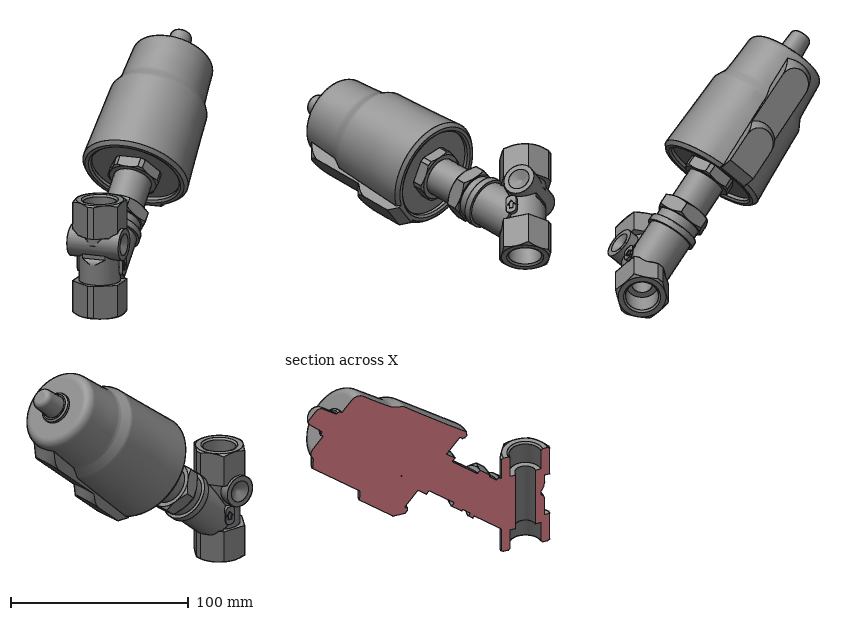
import cadquery as cq
import math

body_length = 66.2
body_hex_length = 19.3
body_hex_flat_x = 27.2
body_hex_width_y = 29.6
body_hex_side_half = 7.45
body_hex_tip_half = 1.8
body_hex_end_diameter = 26.8
pipe_diameter = 23.4
port_diameter = 18.63
port_mouth_diameter = 20.8
port_depth = 14.0
bore_diameter = 12.0
hex_chamfer_angle = 30.0
hex_sides = 6

cross_diameter = 18.2
cross_length = 31.0
cross_y = -2.5
cross_z = 8.9
dimple_diameter = 12.4
dimple_depth = 3.6

relief_flat_y = -9.5
relief_flat_drop = 8.2
relief_end_drop = 12.0

plate_width = 6.2
plate_height = 10.7
plate_corner_radius = 2.4
plate_y = 3.0
plate_z = -5.0
plate_span = 27.2
arrow_width = 4.4
arrow_height = 4.8
arrow_head_height = 2.6
arrow_shaft_width = 2.2
arrow_depth = 0.5

tilt = 40.0
axis_cross_z = -12.2

branch_start, branch_end = 4.2, 29.5
branch_diameter = 26.0
branch_bottom_z = -16.75
ring_end = 33.3
ring_diameter = 29.0
neck_diameter = 25.0
nut_start, nut_end = 39.0, 47.3
nut_flats = 27.0
stem_diameter = 22.0

lock_nut_start = 66.9
lock_nut_flats = 27.2
lock_nut_corners = 29.8

rim_start = 70.4
rim_wide = 72.6
rim_face_radius = 29.0
housing_radius = 30.815
recess_diameter = 51.7
recess_mouth_radius = 27.0
recess_floor = 73.5
lock_nut_buried_length = 2.0
lock_nut_end = recess_floor + lock_nut_buried_length
shoulder_start = 120.0
shoulder_radius = 28.3
shoulder_end = 126.5
upper_radius = 24.9
upper_blend = 4.5
lower_blend = 3.0
dome_top = 152.7
dome_radius = 23.1
dome_fillet = 5.0

collar_diameter = 18.0
collar_inner_radius = 7.8
collar_side_end = 154.2
collar_end = 155.0
cap_base_radius = 6.8
cap_tip_radius = 5.9
cap_top = 168.1
cap_fillet = 2.9

pad_half_width = 9.0
pad_nose_draft = 0.75
upper_pad_bottom = 29.0
upper_pad_nose = 135.0
upper_pad_root = 20.0
lower_pad_bottom = 34.0
lower_pad_nose = 93.8
lower_pad_root = 27.0
lower_pad_back = 76.0
lower_pad_back_slope = 1.2


def cylinder(diameter, start, end):
    return cq.Workplane("XY").workplane(offset=start).circle(diameter / 2).extrude(end - start)


def revolved(points):
    """Solid of revolution about Z from (radius, height) points."""
    return cq.Workplane("XZ").polyline(points).close().revolve(360, (0, 0, 0), (0, 1, 0))


def chamfer_envelope(end_radius, outer_radius, start, end, both_ends):
    """Turned blank whose conical upper end, or both ends, bevel the corners of a hexagon."""
    drop = (outer_radius - end_radius) * math.tan(math.radians(hex_chamfer_angle))
    points = [(0, start)]
    if both_ends:
        points += [(end_radius, start), (outer_radius, start + drop)]
    else:
        points.append((outer_radius, start))
    points += [(outer_radius, end - drop), (end_radius, end), (0, end)]
    return revolved(points)


def hexagon_corner_radius(flats):
    return flats / 2 / math.cos(math.pi / hex_sides)


def hexagon(flats, start, end):
    """Hexagonal prism along Z with two flats facing Y."""
    corner_diameter = 2 * hexagon_corner_radius(flats)
    return cq.Workplane("XY").workplane(offset=start).polygon(hex_sides, corner_diameter).extrude(end - start)



def body_end():
    """Hexagonal connection at the +Z end of the body."""
    start = body_length / 2 - body_hex_length
    end = body_length / 2
    flat_x = body_hex_flat_x / 2
    tip_y = body_hex_width_y / 2
    outline = [
        (flat_x, -body_hex_side_half),
        (flat_x, body_hex_side_half),
        (body_hex_tip_half, tip_y),
        (-body_hex_tip_half, tip_y),
        (-flat_x, body_hex_side_half),
        (-flat_x, -body_hex_side_half),
        (-body_hex_tip_half, -tip_y),
        (body_hex_tip_half, -tip_y),
    ]
    prism = cq.Workplane("XY").workplane(offset=start).polyline(outline).close().extrude(body_hex_length)
    corner_radius = math.hypot(flat_x, body_hex_side_half)
    return prism.intersect(
        chamfer_envelope(body_hex_end_diameter / 2, corner_radius, start, end, False)
    )


def relief_cut():
    """Notch across the -Y side of the pipe, rounding out to the pipe surface at its lower end."""
    pipe_front = -pipe_diameter / 2
    flat_end_z = cross_z - relief_flat_drop
    outer_end_z = cross_z - relief_end_drop
    depth = relief_flat_y - pipe_front
    height = flat_end_z - outer_end_z
    round_radius = (depth**2 + height**2) / (2 * depth)
    return (
        cq.Workplane("YZ")
        .moveTo(pipe_front, cross_z)
        .lineTo(relief_flat_y, cross_z)
        .lineTo(relief_flat_y, flat_end_z)
        .radiusArc((pipe_front, outer_end_z), -round_radius)
        .close()
        .extrude(pipe_diameter / 2, both=True)
    )


def cross_boss():
    return (
        cq.Workplane("YZ").center(cross_y, cross_z).circle(cross_diameter / 2)
        .extrude(cross_length / 2, both=True)
    )


def cross_dimple(side):
    dimple = cq.Solid.makeCone(
        dimple_diameter / 2, 0, dimple_depth,
        cq.Vector(side * cross_length / 2, cross_y, cross_z), cq.Vector(-side, 0, 0),
    )
    return cq.Workplane(dimple)


def flow_plates():
    return (
        cq.Workplane("YZ").center(plate_y, plate_z).rect(plate_width, plate_height)
        .extrude(plate_span / 2, both=True)
        .edges("|X").fillet(plate_corner_radius)
    )


def flow_arrow(side):
    """Arrow pointing to +Z, sunk into one plate."""
    top = arrow_height / 2
    head = top - arrow_head_height
    shaft = arrow_shaft_width / 2
    outline = [
        (0, top), (arrow_width / 2, head), (shaft, head), (shaft, -top),
        (-shaft, -top), (-shaft, head), (-arrow_width / 2, head),
    ]
    return (
        cq.Workplane("YZ", origin=(side * plate_span / 2, plate_y, plate_z))
        .polyline(outline).close().extrude(-side * arrow_depth)
    )


def port_cut():
    """Threaded-port clearance with a conical mouth at the +Z end."""
    end = body_length / 2
    port_radius = port_diameter / 2
    mouth_radius = port_mouth_diameter / 2
    floor = end - port_depth
    return revolved([
        (0, floor), (port_radius, floor), (port_radius, end - (mouth_radius - port_radius)),
        (mouth_radius, end), (0, end),
    ])



def branch():
    lower = cylinder(branch_diameter, branch_start, branch_end)
    ring = cylinder(ring_diameter, branch_end, ring_end)
    neck = cylinder(neck_diameter, ring_end, nut_start)
    return lower.union(ring).union(neck)


def neck_nut():
    corner_radius = hexagon_corner_radius(nut_flats)
    return hexagon(nut_flats, nut_start, nut_end).intersect(
        chamfer_envelope(nut_flats / 2, corner_radius, nut_start, nut_end, True)
    )


def lock_nut():
    trim = hexagon(lock_nut_corners, lock_nut_start, lock_nut_end)
    trim = trim.rotate((0, 0, 0), (0, 0, 1), 180 / hex_sides)
    corner_radius = hexagon_corner_radius(lock_nut_flats)
    blank = chamfer_envelope(lock_nut_flats / 2, corner_radius, lock_nut_start, lock_nut_end, True)
    return hexagon(lock_nut_flats, lock_nut_start, lock_nut_end).intersect(trim).intersect(blank)


def housing():
    recess_radius = recess_diameter / 2
    mouth_depth = recess_mouth_radius - recess_radius
    shell = revolved([
        (0, recess_floor),
        (recess_radius, recess_floor),
        (recess_radius, rim_start + mouth_depth),
        (recess_mouth_radius, rim_start),
        (rim_face_radius, rim_start),
        (housing_radius, rim_wide),
        (shoulder_radius, shoulder_start),
        (upper_radius, shoulder_end),
        (dome_radius, dome_top),
        (0, dome_top),
    ])
    shell = shell.faces(">Z").edges().fillet(dome_fillet)
    edge_tolerance = 0.5
    for height, blend in ((shoulder_end, upper_blend), (shoulder_start, lower_blend)):
        low_corner = (-housing_radius, -housing_radius, height - edge_tolerance)
        high_corner = (housing_radius, housing_radius, height + edge_tolerance)
        step_edge = cq.selectors.BoxSelector(low_corner, high_corner, boundingbox=True)
        shell = shell.edges(step_edge).fillet(blend)
    return shell


def indicator_cap():
    collar = revolved([
        (0, dome_top), (collar_diameter / 2, dome_top), (collar_diameter / 2, collar_side_end),
        (collar_inner_radius, collar_end), (0, collar_end),
    ])
    cap = revolved([
        (0, collar_end), (cap_base_radius, collar_end), (cap_tip_radius, cap_top), (0, cap_top),
    ])
    return collar.union(cap.faces(">Z").edges().fillet(cap_fillet))


def pad(bottom, root, nose, back_bottom, back_root):
    """Flat-sided pad with a conical nose towards the cap end."""
    depth = bottom - root
    root_radius = pad_half_width + pad_nose_draft * depth
    nose_cone = cq.Workplane(cq.Solid.makeCone(
        root_radius, pad_half_width, depth, cq.Vector(0, root, nose), cq.Vector(0, 1, 0),
    ))
    block = (
        cq.Workplane("YZ")
        .polyline([(root, nose), (bottom, nose), (bottom, back_bottom), (root, back_root)]).close()
        .extrude(pad_half_width, both=True)
    )
    nose_end = nose + root_radius
    envelope = (
        cq.Workplane("XY").workplane(offset=rim_start)
        .rect(2 * pad_half_width, 2 * bottom).extrude(nose_end - rim_start)
    )
    return nose_cone.union(block).intersect(envelope)


def actuator():
    stem = cylinder(stem_diameter, nut_end, recess_floor)
    upper_pad = pad(upper_pad_bottom, upper_pad_root, upper_pad_nose, lower_pad_nose, lower_pad_nose)
    lower_pad_depth = lower_pad_bottom - lower_pad_root
    lower_back_root = lower_pad_back - lower_pad_back_slope * lower_pad_depth
    lower_pad = pad(lower_pad_bottom, lower_pad_root, lower_pad_nose, lower_pad_back, lower_back_root)
    assembly = branch().union(neck_nut()).union(stem).union(lock_nut()).union(housing())
    assembly = assembly.union(upper_pad).union(lower_pad).union(indicator_cap())
    tipped = assembly.rotate((0, 0, 0), (1, 0, 0), tilt - 90).translate((0, 0, axis_cross_z))
    below_branch = (
        cq.Workplane("XY").workplane(offset=branch_bottom_z)
        .rect(2 * branch_diameter, 2 * branch_diameter).extrude(-branch_diameter)
    )
    return tipped.cut(below_branch)


body = cylinder(pipe_diameter, -body_length / 2, body_length / 2).cut(relief_cut())
body = body.union(body_end()).union(body_end().mirror("XY"))
body = body.union(actuator()).union(cross_boss()).union(flow_plates())
for side in (-1, 1):
    body = body.cut(cross_dimple(side)).cut(flow_arrow(side))
body = body.cut(port_cut()).cut(port_cut().mirror("XY"))
result = body.cut(cylinder(bore_diameter, -body_length / 2, body_length / 2))